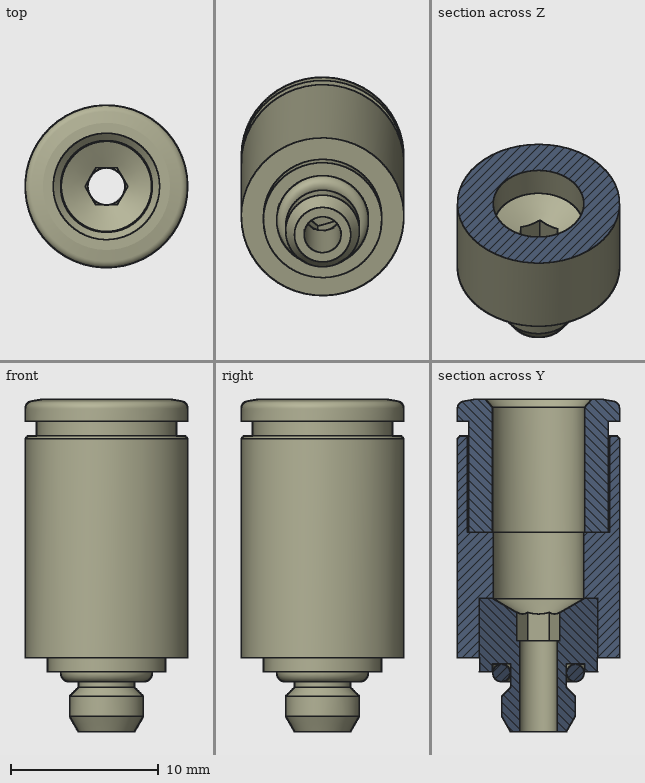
import cadquery as cq
import math

TOTAL_HEIGHT = 22.5
FLANGE_BOTTOM = 4.05
HOUSING_BOTTOM = 5.0
STUD_TOP = 9.0
SLEEVE_BOTTOM = 13.5
HOUSING_TOP = 20.0
BUTTON_BOTTOM = 21.0
BUTTON_ROUND_START = 21.87

OUTER_RADIUS = 11.0 / 2
HOUSING_CHAMFER = 0.18
SLEEVE_SEAT_RADIUS = 9.6 / 2

THREAD_RADIUS = 5.0 / 2
NECK_RADIUS = 3.8 / 2
HEAD_RADIUS = 8.0 / 2
THREAD_BOTTOM = 1.04
THREAD_TOP = 2.4
FUNNEL_RADIUS = 6.1 / 2
FUNNEL_SLOPE = 30.0
HEX_ACROSS_FLATS = 2.5
HEX_DEPTH = 1.8
PASSAGE_RADIUS = HEX_ACROSS_FLATS / 2
HEX_CORNER_RADIUS = PASSAGE_RADIUS / math.cos(math.pi / 6)

SEAL_OUTER_RADIUS = 6.2 / 2
SEAL_TUBE_RADIUS = (SEAL_OUTER_RADIUS - NECK_RADIUS) / 2
SEAL_CENTRE_RADIUS = NECK_RADIUS + SEAL_TUBE_RADIUS
SEAL_BOTTOM = 3.38
SEAL_CENTRE = SEAL_BOTTOM + SEAL_TUBE_RADIUS
SEAL_TOP = SEAL_BOTTOM + 2 * SEAL_TUBE_RADIUS

SLEEVE_RADIUS = 9.5 / 2
TUBE_BORE_RADIUS = 6.2 / 2
BUTTON_MOUTH_RADIUS = 7.2 / 2
MOUTH_DEPTH = 0.56
BUTTON_FLAT_RADIUS = 8.6 / 2
CROWN_SLOPE = 10.0


def revolve(profile):
    """Turn a closed (radius, height) profile about the Z axis."""
    return profile.close().revolve(360, (0, 0, 0), (0, 1, 0))


def cylinder(radius, bottom, top):
    return cq.Workplane("XY").workplane(offset=bottom).circle(radius).extrude(top - bottom)


def make_housing():
    body = cylinder(OUTER_RADIUS, HOUSING_BOTTOM, HOUSING_TOP)
    body = body.faces(">Z").edges().chamfer(HOUSING_CHAMFER)
    stud_seat = cylinder(HEAD_RADIUS, HOUSING_BOTTOM, STUD_TOP)
    tube_bore = cylinder(FUNNEL_RADIUS, STUD_TOP, SLEEVE_BOTTOM)
    sleeve_seat = cylinder(SLEEVE_SEAT_RADIUS, SLEEVE_BOTTOM, HOUSING_TOP)
    return body.cut(stud_seat).cut(tube_bore).cut(sleeve_seat)


def make_stud():
    upper_chamfer_top = THREAD_TOP + THREAD_RADIUS - NECK_RADIUS
    body = revolve(
        cq.Workplane("XZ")
        .moveTo(0, 0)
        .lineTo(NECK_RADIUS, 0)
        .lineTo(THREAD_RADIUS, THREAD_BOTTOM)
        .lineTo(THREAD_RADIUS, THREAD_TOP)
        .lineTo(NECK_RADIUS, upper_chamfer_top)
        .lineTo(NECK_RADIUS, SEAL_TOP)
        .lineTo(SEAL_OUTER_RADIUS, SEAL_TOP)
        .lineTo(SEAL_OUTER_RADIUS, FLANGE_BOTTOM)
        .lineTo(HEAD_RADIUS, FLANGE_BOTTOM)
        .lineTo(HEAD_RADIUS, STUD_TOP)
        .lineTo(0, STUD_TOP)
    )
    slope = math.tan(math.radians(FUNNEL_SLOPE))
    funnel_tip = STUD_TOP - FUNNEL_RADIUS * slope
    funnel = revolve(
        cq.Workplane("XZ")
        .moveTo(0, funnel_tip)
        .lineTo(FUNNEL_RADIUS, STUD_TOP)
        .lineTo(0, STUD_TOP)
    )
    hex_bottom = funnel_tip + PASSAGE_RADIUS * slope - HEX_DEPTH
    key_recess = (
        cq.Workplane("XY")
        .workplane(offset=hex_bottom)
        .polygon(6, 2 * HEX_CORNER_RADIUS)
        .extrude(STUD_TOP - hex_bottom)
    )
    passage = cylinder(PASSAGE_RADIUS, 0, STUD_TOP)
    return body.cut(funnel).cut(key_recess).cut(passage)


def make_seal_ring():
    return (
        cq.Workplane("XZ")
        .center(SEAL_CENTRE_RADIUS, SEAL_CENTRE)
        .circle(SEAL_TUBE_RADIUS)
        .revolve(360, (-SEAL_CENTRE_RADIUS, 0, 0), (-SEAL_CENTRE_RADIUS, 1, 0))
    )


def make_release_button():
    crown = math.radians(CROWN_SLOPE)
    rise = TOTAL_HEIGHT - BUTTON_ROUND_START
    corner_height = rise - (OUTER_RADIUS - BUTTON_FLAT_RADIUS) * math.tan(crown)
    rim_radius = corner_height * math.tan((math.pi / 2 + crown) / 2)
    rim_centre_radius = OUTER_RADIUS - rim_radius

    def rim_point(angle):
        return (
            rim_centre_radius + rim_radius * math.cos(angle),
            BUTTON_ROUND_START + rim_radius * math.sin(angle),
        )

    rim_end = math.pi / 2 - crown
    return revolve(
        cq.Workplane("XZ")
        .moveTo(TUBE_BORE_RADIUS, SLEEVE_BOTTOM)
        .lineTo(SLEEVE_RADIUS, SLEEVE_BOTTOM)
        .lineTo(SLEEVE_RADIUS, BUTTON_BOTTOM)
        .lineTo(OUTER_RADIUS, BUTTON_BOTTOM)
        .lineTo(OUTER_RADIUS, BUTTON_ROUND_START)
        .threePointArc(rim_point(rim_end / 2), rim_point(rim_end))
        .lineTo(BUTTON_FLAT_RADIUS, TOTAL_HEIGHT)
        .lineTo(BUTTON_MOUTH_RADIUS, TOTAL_HEIGHT)
        .lineTo(TUBE_BORE_RADIUS, TOTAL_HEIGHT - MOUTH_DEPTH)
    )


housing = make_housing()
stud = make_stud()
seal_ring = make_seal_ring()
release_button = make_release_button()

result = cq.Compound.makeCompound(
    [housing.val(), stud.val(), seal_ring.val(), release_button.val()]
)